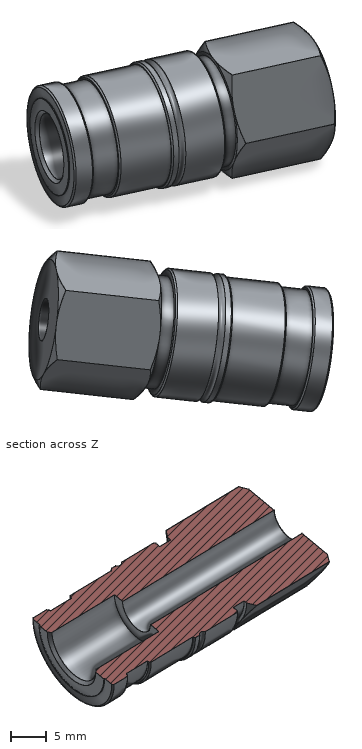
import cadquery as cq
import math

total_length = 40.0

across_flats = 17.0
across_corners = across_flats / math.cos(math.pi / 6)
nut_start = 25.05
nut_end_radius = 8.5
nut_chamfer_angle = math.radians(30)

neck_radius = 8.0
band_radius = 18.2 / 2
sleeve_radius = 17.5 / 2
recess_radius = 8.25
core_radius = 7.0
edge = 0.25

lip_start = 0.15
lip_end = 3.1
recess_end = 7.0
ring_start = 14.9
band_end = 23.1

groove_center = 16.45
groove_round_radius = 0.55

through_radius = 3.0
socket_radius = 4.75
socket_mouth_radius = 5.25
socket_depth = 12.0


def revolve_profile(points):
    """Revolve (radius, Y) points, closed along the axis, about the Y axis."""
    outline = [(0, points[0][1])] + points + [(0, points[-1][1])]
    return cq.Workplane("XY").polyline(outline).close().revolve(360, (0, 0), (0, 1))


def make_sleeve():
    return revolve_profile([
        (core_radius, 0),
        (core_radius, lip_start),
        (sleeve_radius - edge, lip_start),
        (sleeve_radius, lip_start + edge),
        (sleeve_radius, lip_end - edge),
        (sleeve_radius - edge, lip_end),
        (recess_radius, lip_end),
        (recess_radius, recess_end),
        (sleeve_radius - edge, recess_end),
        (sleeve_radius, recess_end + edge),
        (sleeve_radius, ring_start),
        (band_radius - edge, ring_start),
        (band_radius, ring_start + edge),
        (band_radius, band_end - edge),
        (band_radius - edge, band_end),
        (neck_radius, band_end),
        (neck_radius, nut_start),
    ])


def make_groove():
    ring_radius = sleeve_radius + groove_round_radius
    return (
        cq.Workplane("XY")
        .moveTo(ring_radius, groove_center)
        .circle(groove_round_radius)
        .revolve(360, (0, 0), (0, 1))
    )


def make_nut():
    corner_radius = across_corners / 2
    chamfer_length = (corner_radius - nut_end_radius) * math.tan(nut_chamfer_angle)
    hexagon = (
        cq.Workplane("XZ", origin=(0, nut_start, 0))
        .polygon(6, across_corners)
        .extrude(nut_start - total_length)
    )
    chamfered_blank = revolve_profile([
        (nut_end_radius, nut_start),
        (corner_radius, nut_start + chamfer_length),
        (corner_radius, total_length - chamfer_length),
        (nut_end_radius, total_length),
    ])
    return hexagon.intersect(chamfered_blank)


def make_bore():
    mouth_depth = socket_mouth_radius - socket_radius
    return revolve_profile([
        (socket_mouth_radius, 0),
        (socket_radius, mouth_depth),
        (socket_radius, socket_depth),
        (through_radius, socket_depth),
        (through_radius, total_length),
    ])


result = make_sleeve().cut(make_groove()).union(make_nut()).cut(make_bore())